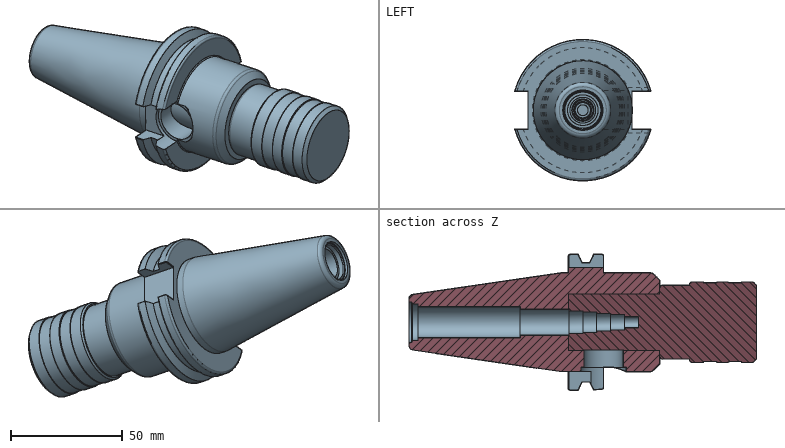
import cadquery as cq


gauge_x = 68.2
body_diameter = 44.5
body_radius = body_diameter / 2
taper_slope = 7 / 48
nose_radius = body_radius - gauge_x * taper_slope
nose_fillet = 2.0

flange_diameter = 63.5
flange_radius = flange_diameter / 2
flange_start = 71.5
flange_width = 15.9
flange_end = flange_start + flange_width
flange_edge_fillet = 1.0
flange_root_fillet = 0.5

groove_center = 79.4
groove_floor_radius = 28.0
groove_floor_width = 3.5
groove_top_width = 7.0

slot_width = 16.7
slot_edge_chamfer = 0.3
slot_floors = {-1: 22.1, 1: 24.6}

body_end = 112.6
body_chamfer = 3.5
body_fillet = 2.0

window_x = flange_end
window_diameter = 17.5
window_seat_diameter = 20.3
window_seat_floor = 20.3

recess_radius = 9.0
recess_depth = 1.2
cone_radius = 8.5
cone_end = 1.7
bore_steps = [(16.2, 4.0), (13.7, 49.9), (11.5, 71.7)]

stem_radius = 12.5
stem_start = bore_steps[-1][1]
stem_hole_steps = [(10.0, 78.0), (9.0, 84.2), (7.8, 90.5), (6.9, 96.7), (4.8, 103.0)]

neck_radius = 16.7
neck_fillet = 1.2
rib_radius = 18.1
rib_height = 0.3
band_radius = rib_radius - rib_height
band_width = 5.6
end_rib_width = 6.9
chuck_end = 156.0
end_chamfer = 1.5
collar_chamfer = 0.8
end_rib_start = chuck_end - end_rib_width
middle_rib_start = end_rib_start - 2 * band_width
front_rib_end = middle_rib_start - band_width
collar_start = front_rib_end - band_width - collar_chamfer

margin = 0.02


def cylinder(radius, start, end):
    """A solid cylinder about the X axis."""
    return cq.Workplane("YZ", origin=(start, 0, 0)).circle(radius).extrude(end - start)


def revolved(points):
    """Revolve a closed outline of (X, radius) points about the X axis."""
    return cq.Workplane("XY").polyline(points).close().revolve(360, (0, 0, 0), (1, 0, 0))


def stepped_hole(start, steps):
    """A hole about the X axis made of successive (diameter, end X) steps."""
    hole = cq.Workplane("YZ")
    for diameter, end in steps:
        hole = hole.add(cylinder(diameter / 2, start, end))
        start = end
    return hole.combine()


def edges_within(corner, opposite_corner):
    """Selector for the edges that lie wholly inside a box, grown by the margin."""
    lower = [min(pair) - margin for pair in zip(corner, opposite_corner)]
    upper = [max(pair) + margin for pair in zip(corner, opposite_corner)]
    return cq.selectors.BoxSelector(lower, upper, boundingbox=True)


def make_shank():
    """Taper with a rounded nose, and the chamfered body behind it."""
    taper = revolved([(0, 0), (0, nose_radius), (gauge_x, body_radius), (gauge_x, 0)])
    taper = taper.faces("<X").edges().fillet(nose_fillet)
    body = cylinder(body_radius, gauge_x, body_end).faces(">X").edges().chamfer(body_chamfer)
    body = body.faces("%CONE").edges("<X").fillet(body_fillet)
    return taper.union(body)


def make_flange():
    """Full round flange with its V-groove."""
    flange = cylinder(flange_radius, flange_start, flange_end)
    flange = flange.edges("%CIRCLE").fillet(flange_edge_fillet)
    half_top = groove_top_width / 2
    half_floor = groove_floor_width / 2
    groove = revolved([
        (groove_center - half_top, flange_radius),
        (groove_center - half_floor, groove_floor_radius),
        (groove_center + half_floor, groove_floor_radius),
        (groove_center + half_top, flange_radius),
    ])
    return flange.cut(groove)


def make_slot(side, floor):
    """Cutter for the driving slot on the +Y (side = 1) or -Y (side = -1) side."""
    depth = flange_radius - floor
    center = (flange_start + flange_width / 2, side * (floor + depth / 2), 0)
    return cq.Workplane("XY", origin=center).box(flange_width, depth, slot_width)


def chamfer_slot_edges(holder, side, floor):
    """Break the slot's edges on the front face and on the rim ahead of the groove."""
    groove_start = groove_center - groove_top_width / 2
    for wall_z in (-slot_width / 2, slot_width / 2):
        floor_corner = (flange_start, side * floor, wall_z)
        rim_corner = (groove_start, side * flange_radius, wall_z)
        holder = holder.edges(edges_within(floor_corner, rim_corner)).chamfer(slot_edge_chamfer)
    return holder


def make_window():
    """Cutter for the round side window and its flat, wider seat."""
    hole = cq.Workplane("XZ", origin=(window_x, 0, 0)).circle(window_diameter / 2).extrude(flange_radius)
    seat = (
        cq.Workplane("XZ", origin=(window_x, -window_seat_floor, 0))
        .circle(window_seat_diameter / 2)
        .extrude(flange_radius - window_seat_floor)
    )
    return hole.union(seat)


def make_bore():
    """Cutter for the drawbar bore."""
    entry_radius = bore_steps[0][0] / 2
    recess = cylinder(recess_radius, 0, recess_depth)
    cone = revolved([
        (recess_depth, 0),
        (recess_depth, cone_radius),
        (cone_end, entry_radius),
        (cone_end, 0),
    ])
    return stepped_hole(0, bore_steps).union(recess).union(cone)


def make_holder():
    holder = make_shank().union(make_flange())
    root = edges_within((flange_end, -body_radius, -body_radius), (flange_end, body_radius, body_radius))
    holder = holder.edges(root).fillet(flange_root_fillet)
    for side, floor in slot_floors.items():
        holder = holder.cut(make_slot(side, floor))
        holder = chamfer_slot_edges(holder, side, floor)
    holder = holder.cut(make_window())
    holder = holder.cut(make_bore())
    stem_socket = cylinder(stem_radius, stem_start, body_end)
    return holder.cut(stem_socket)


def make_collar():
    """Collar with three raised ribs, chamfered at both ends."""
    front_rib = cylinder(rib_radius, collar_start, front_rib_end)
    front_rib = front_rib.faces("<X").edges().chamfer(collar_chamfer)
    middle_rib = cylinder(rib_radius, middle_rib_start, middle_rib_start + band_width)
    middle_rib = middle_rib.edges("%CIRCLE").chamfer(rib_height)
    end_rib = cylinder(rib_radius, end_rib_start, chuck_end)
    end_rib = end_rib.faces(">X").edges().chamfer(end_chamfer)
    bands = cylinder(band_radius, front_rib_end, end_rib_start)
    return bands.union(front_rib).union(middle_rib).union(end_rib)


def make_chuck():
    stem = cylinder(stem_radius, stem_start, body_end)
    neck = cylinder(neck_radius, body_end, collar_start).faces("<X").edges().fillet(neck_fillet)
    chuck = stem.union(neck).union(make_collar())
    return chuck.cut(stepped_hole(stem_start, stem_hole_steps))


holder = make_holder()
chuck = make_chuck()
result = cq.Compound.makeCompound([*holder.solids().vals(), *chuck.solids().vals()])